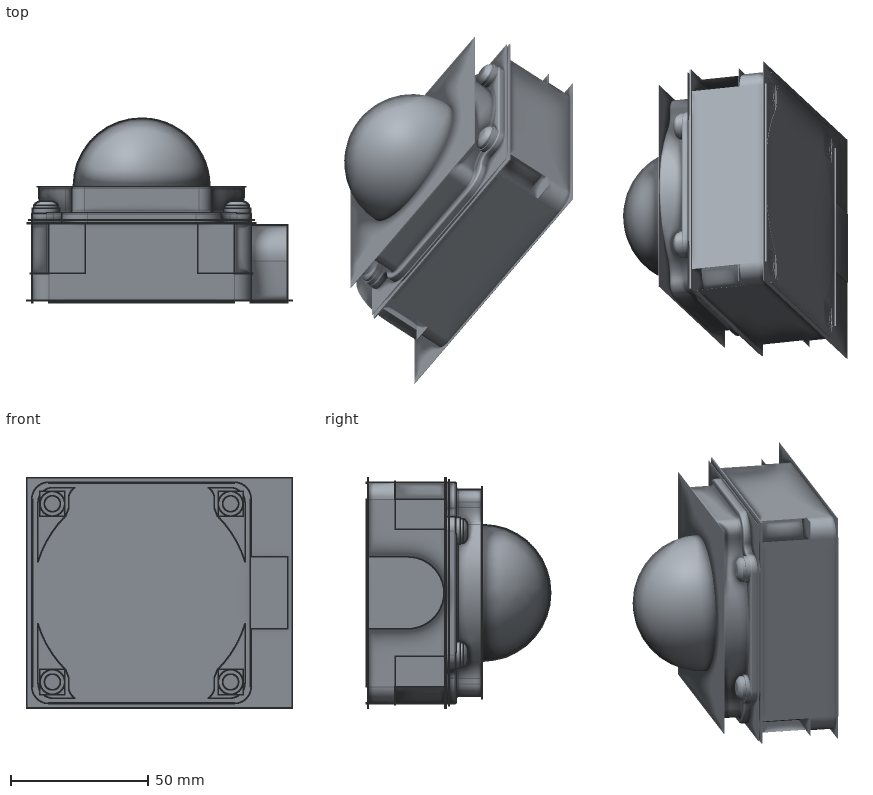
import cadquery as cq
import math

BODY_HALF_X = 40.0
BODY_HALF_Z = 40.35
BASE_CORNER_RADIUS = 6.2
FLAT_HALF_X = BODY_HALF_X - BASE_CORNER_RADIUS
FLAT_HALF_Z = BODY_HALF_Z - BASE_CORNER_RADIUS

FACE_Y = 0.6
BASE_TOP_Y = 10.6
DIVIDER_Y = 28.65
GASKET_Y = 30.0
COVER_TOP_Y = 32.8
BEZEL_TOP_Y = 42.3
DOME_TOP_Y = 67.21

NARROW_HALF_X = 29.1
NARROW_CORNER_RADIUS = 9.3
LOW_HALF_Z = 27.8
LOW_CORNER_RADIUS = 5.2
NOTCH_FILLET = 3.0
COVER_EDGE_FILLET = 0.7
FLAP_THICKNESS = 0.03

PLATE_THICKNESS = 0.15
DOUBLE_PLATE_THICKNESS = 0.45
PLATES = [
    (FACE_Y, PLATE_THICKNESS, -41.87, 55.0, 42.04),
    (DIVIDER_Y, DOUBLE_PLATE_THICKNESS, -41.6, 41.6, 42.04),
    (GASKET_Y, PLATE_THICKNESS, -41.2, 41.2, 41.2),
    (BEZEL_TOP_Y - PLATE_THICKNESS, PLATE_THICKNESS, -38.0, 38.0, 38.6),
]

CORNER_PLATE_HALF_X = 40.5
CORNER_PLATE_HALF_Z = 40.75

RIM_WIDTH = 0.3

BEZEL_RADIUS = 37.4
BEZEL_HALF_X = 25.4
BEZEL_HALF_Z = 37.7
BEZEL_CORNER_RADIUS = 4.5
BEZEL_FILLET = 9.0
BEZEL_EDGE_FILLET = 0.7
BEZEL_FOOT_FILLET = 0.7
DOME_RADIUS = DOME_TOP_Y - BEZEL_TOP_Y
DOME_OVERLAP = 1.0

COVER_SCREW_X = BODY_HALF_X - LOW_CORNER_RADIUS
COVER_SCREW_Z = LOW_HALF_Z - LOW_CORNER_RADIUS
POST_RADIUS = 4.95
POST_TOP_Y = 34.3
HEAD_RADIUS = 4.5
HEAD_TOP_RADIUS = 2.4
HEAD_EDGE_Y = 35.4
HEAD_SHOULDER_RADIUS = 3.8
HEAD_SHOULDER_Y = 36.2
HEAD_TOP_Y = 36.9

MOUNT_PITCH_HALF = 32.5
MOUNT_HOLE_RADIUS = 2.9
MOUNT_SEAT_RADIUS = 4.6
POCKET_STEP = 0.1
POCKET_SIDE_X = 37.75
POCKET_SIDE_Z = 38.4
POCKET_CORNER_RADIUS = 5.5
POCKET_ARC_RADIUS = 39.4
POCKET_NECK_X = 26.5
POCKET_NECK_LOW_Z = 30.9
POCKET_NECK_HIGH_Z = 35.3
POCKET_KINK_X = 27.7
POCKET_FLARE_X = 24.4
POCKET_FLARE_MID = (25.8, 36.9)

ENTRY_END_X = 53.3
ENTRY_RADIUS = 13.1
ENTRY_TOP_Y = 28.3

QUADRANTS = [(sx, sz) for sx in (-1, 1) for sz in (-1, 1)]


def at_level(y):
    """Sketch plane at height y, with local axes X and Z."""
    return cq.Workplane("XZ", origin=(0, y, 0))


def slab(half_x, half_z, y_from, y_to, corner_radius=None):
    """Centred rectangle extruded along Y, with rounded corners if a radius is given."""
    block = at_level(y_from).rect(2 * half_x, 2 * half_z).extrude(y_from - y_to)
    if corner_radius:
        block = block.edges("|Y").fillet(corner_radius)
    return block


def disc(x, z, radius, y_from, y_to):
    return at_level(y_from).center(x, z).circle(radius).extrude(y_from - y_to)


def fillet_inner_edges(block, half_x, half_z, y, radius):
    """Fillet the four inner edges at (+-half_x, +-half_z), running along Y through y."""
    for sx, sz in QUADRANTS:
        block = block.edges(cq.NearestToPointSelector((sx * half_x, y, sz * half_z))).fillet(radius)
    return block


def make_cover():
    tall = slab(NARROW_HALF_X, BODY_HALF_Z, BASE_TOP_Y, COVER_TOP_Y, NARROW_CORNER_RADIUS)
    wide = slab(BODY_HALF_X, LOW_HALF_Z, BASE_TOP_Y, COVER_TOP_Y, LOW_CORNER_RADIUS)
    middle_y = (BASE_TOP_Y + COVER_TOP_Y) / 2
    cover = fillet_inner_edges(tall.union(wide), NARROW_HALF_X, LOW_HALF_Z, middle_y, NOTCH_FILLET)
    return cover.faces(">Y").edges().fillet(COVER_EDGE_FILLET)


def make_flaps():
    """Thin outer walls that reach over the corner notches, flush with the base sides."""
    outer = slab(BODY_HALF_X, BODY_HALF_Z, BASE_TOP_Y, DIVIDER_Y)
    inner = slab(BODY_HALF_X - FLAP_THICKNESS, BODY_HALF_Z - FLAP_THICKNESS, BASE_TOP_Y, DIVIDER_Y)
    across = slab(FLAT_HALF_X, BODY_HALF_Z, BASE_TOP_Y, DIVIDER_Y)
    upright = slab(BODY_HALF_X, FLAT_HALF_Z, BASE_TOP_Y, DIVIDER_Y)
    return outer.cut(inner).intersect(across.union(upright))


def make_rims():
    """Low straight ridges along the four sides of the mounting face."""
    ridge_height = FACE_Y + PLATE_THICKNESS
    centre_x = BODY_HALF_X - RIM_WIDTH / 2
    centre_z = BODY_HALF_Z - RIM_WIDTH / 2
    uprights = (
        at_level(0)
        .pushPoints([(-centre_x, 0), (centre_x, 0)])
        .rect(RIM_WIDTH, 2 * FLAT_HALF_Z)
        .extrude(-ridge_height)
    )
    rails = (
        at_level(0)
        .pushPoints([(0, -centre_z), (0, centre_z)])
        .rect(2 * FLAT_HALF_X, RIM_WIDTH)
        .extrude(-ridge_height)
    )
    return uprights.union(rails)


def make_plate(y, thickness, left, right, half_z):
    return (
        at_level(y)
        .center((left + right) / 2, 0)
        .rect(right - left, 2 * half_z)
        .extrude(-thickness)
    )


def make_corner_plates():
    """Thin plates closing the floor of each corner notch, slightly proud of the base."""
    plate_y = BASE_TOP_Y - PLATE_THICKNESS
    plate = slab(CORNER_PLATE_HALF_X, CORNER_PLATE_HALF_Z, plate_y, BASE_TOP_Y)
    tall_gap = slab(FLAT_HALF_X, CORNER_PLATE_HALF_Z, plate_y, BASE_TOP_Y)
    wide_gap = slab(CORNER_PLATE_HALF_X, FLAT_HALF_Z, plate_y, BASE_TOP_Y)
    return plate.cut(tall_gap).cut(wide_gap)


def make_bezel():
    middle_y = (COVER_TOP_Y + BEZEL_TOP_Y) / 2
    round_part = disc(0, 0, BEZEL_RADIUS, COVER_TOP_Y, BEZEL_TOP_Y)
    tall_part = slab(BEZEL_HALF_X, BEZEL_HALF_Z, COVER_TOP_Y, BEZEL_TOP_Y, BEZEL_CORNER_RADIUS)
    crossing_z = math.sqrt(BEZEL_RADIUS**2 - BEZEL_HALF_X**2)
    outline = round_part.union(tall_part)
    bezel = fillet_inner_edges(outline, BEZEL_HALF_X, crossing_z, middle_y, BEZEL_FILLET)
    return bezel.faces(">Y").edges().fillet(BEZEL_EDGE_FILLET)


def make_cover_with_bezel():
    """Cover and bezel joined by a small fillet around the foot of the bezel."""
    cover = make_cover().union(make_bezel())
    ledge = next(face for face in cover.faces("|Y").vals() if face.innerWires())
    foot = ledge.innerWires()[0]
    return cover.newObject(foot.Edges()).fillet(BEZEL_FOOT_FILLET)


def make_dome():
    return (
        cq.Workplane("XY")
        .moveTo(0, BEZEL_TOP_Y - DOME_OVERLAP)
        .lineTo(DOME_RADIUS, BEZEL_TOP_Y - DOME_OVERLAP)
        .lineTo(DOME_RADIUS, BEZEL_TOP_Y)
        .radiusArc((0, DOME_TOP_Y), -DOME_RADIUS)
        .close()
        .revolve(360, (0, 0, 0), (0, 1, 0))
    )


def make_cover_screw(x, z):
    post = disc(x, z, POST_RADIUS, COVER_TOP_Y - COVER_EDGE_FILLET, POST_TOP_Y)
    head = (
        cq.Workplane("XY")
        .moveTo(0, POST_TOP_Y)
        .lineTo(HEAD_RADIUS, POST_TOP_Y)
        .lineTo(HEAD_RADIUS, HEAD_EDGE_Y)
        .threePointArc((HEAD_SHOULDER_RADIUS, HEAD_SHOULDER_Y), (HEAD_TOP_RADIUS, HEAD_TOP_Y))
        .lineTo(0, HEAD_TOP_Y)
        .close()
        .revolve(360, (0, 0, 0), (0, 1, 0))
        .translate((x, 0, z))
    )
    return post.union(head)


def make_cable_entry():
    spring_y = ENTRY_TOP_Y - ENTRY_RADIUS
    return (
        cq.Workplane("YZ", origin=(FLAT_HALF_X, 0, 0))
        .moveTo(0, -ENTRY_RADIUS)
        .lineTo(spring_y, -ENTRY_RADIUS)
        .threePointArc((ENTRY_TOP_Y, 0), (spring_y, ENTRY_RADIUS))
        .lineTo(0, ENTRY_RADIUS)
        .close()
        .extrude(ENTRY_END_X - FLAT_HALF_X)
        .cut(slab(BODY_HALF_X, BODY_HALF_Z, 0, FACE_Y))
    )


def make_mounting_pocket():
    """Shallow stepped pocket around the mounting screw in the +X, +Z corner."""

    def arc_z(x):
        return math.sqrt(POCKET_ARC_RADIUS**2 - x**2)

    arc_middle_x = (POCKET_SIDE_X + POCKET_KINK_X) / 2
    recess = (
        at_level(FACE_Y)
        .moveTo(POCKET_SIDE_X, arc_z(POCKET_SIDE_X))
        .threePointArc((arc_middle_x, arc_z(arc_middle_x)), (POCKET_KINK_X, arc_z(POCKET_KINK_X)))
        .lineTo(POCKET_NECK_X, POCKET_NECK_LOW_Z)
        .lineTo(POCKET_NECK_X, POCKET_NECK_HIGH_Z)
        .threePointArc(POCKET_FLARE_MID, (POCKET_FLARE_X, POCKET_SIDE_Z))
        .lineTo(POCKET_SIDE_X, POCKET_SIDE_Z)
        .close()
        .extrude(-POCKET_STEP)
        .edges(cq.NearestToPointSelector((POCKET_SIDE_X, FACE_Y + POCKET_STEP / 2, POCKET_SIDE_Z)))
        .fillet(POCKET_CORNER_RADIUS)
    )
    centre = at_level(FACE_Y).center(MOUNT_PITCH_HALF, MOUNT_PITCH_HALF)
    square = centre.rect(2 * MOUNT_SEAT_RADIUS, 2 * MOUNT_SEAT_RADIUS).extrude(-2 * POCKET_STEP)
    seat = centre.circle(MOUNT_SEAT_RADIUS - POCKET_STEP).extrude(-3 * POCKET_STEP)
    hole = centre.circle(MOUNT_HOLE_RADIUS).extrude(-4 * POCKET_STEP)
    return recess.union(square).union(seat).union(hole)


housing = slab(BODY_HALF_X, BODY_HALF_Z, FACE_Y, BASE_TOP_Y, BASE_CORNER_RADIUS)
parts = [make_cover_with_bezel(), make_flaps(), make_rims(), make_corner_plates()]
parts += [make_dome(), make_cable_entry()]
parts += [make_plate(*plate) for plate in PLATES]
parts += [make_cover_screw(sx * COVER_SCREW_X, sz * COVER_SCREW_Z) for sx, sz in QUADRANTS]
for part in parts:
    housing = housing.union(part)

pocket = make_mounting_pocket()
for sx, sz in QUADRANTS:
    corner_pocket = pocket
    if sx < 0:
        corner_pocket = corner_pocket.mirror("YZ")
    if sz < 0:
        corner_pocket = corner_pocket.mirror("XY")
    housing = housing.cut(corner_pocket)

result = housing